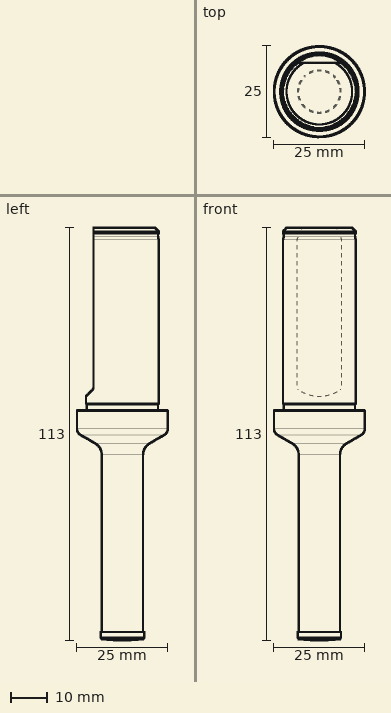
import cadquery as cq
import math

TOTAL_LENGTH = 113.0

TIP_RADIUS = 6.0
TIP_HEIGHT = 2.4
TIP_BEVEL_TOP = 0.9
TIP_BEVEL_BOTTOM = 0.3
TIP_END_RADIUS = 5.6
TIP_NOSE_RADIUS = 2.1 / 2

STEM_RADIUS = 11.4 / 2
FLARE_ANGLE = math.radians(30)
FLARE_START = 51.0
FLARE_LOWER_ARC = 3.4
FLARE_UPPER_ARC = 2.1

FLANGE_RADIUS = 25.0 / 2
FLANGE_TOP = 63.0
FLANGE_BEVEL = 0.2
RECESS_RADIUS = 10.7
RECESS_FLOOR_RADIUS = 10.5
RECESS_DEPTH = 0.2

SHANK_RADIUS = 20.0 / 2
NECK_RADIUS = 19.5 / 2
SHANK_BOTTOM = 64.6
SHANK_FOOT_BEVEL = SHANK_RADIUS - NECK_RADIUS
GROOVE_TAPER_START = 109.7
GROOVE_BOTTOM = 110.6
GROOVE_TOP = 111.4
TOP_BEVEL = 1.0

FLAT_OFFSET = 7.9
FLAT_BOTTOM = 68.9
RUNOUT_FILLET = 1.1


def polar(center, radius, angle):
    """Point at an angle on a circle in the radius-height plane."""
    return (center[0] + radius * math.cos(angle), center[1] + radius * math.sin(angle))


def make_tip():
    """Short cutting tip with a bevelled rim and a very shallow pointed end."""
    return (
        cq.Workplane("XZ")
        .moveTo(0, 0)
        .lineTo(TIP_NOSE_RADIUS, 0)
        .lineTo(TIP_END_RADIUS, TIP_BEVEL_BOTTOM)
        .lineTo(TIP_RADIUS, TIP_BEVEL_TOP)
        .lineTo(TIP_RADIUS, TIP_HEIGHT)
        .lineTo(0, TIP_HEIGHT)
        .close()
        .revolve(360, (0, 0, 0), (0, 1, 0))
    )


def make_turned_body():
    """Revolved stem, flared flange, neck and shank."""
    lower_center = (STEM_RADIUS + FLARE_LOWER_ARC, FLARE_START)
    lower_turn = math.pi / 2 - FLARE_ANGLE
    lower_mid = polar(lower_center, FLARE_LOWER_ARC, math.pi - lower_turn / 2)
    cone_start = polar(lower_center, FLARE_LOWER_ARC, math.pi - lower_turn)

    upper_radius_center = FLANGE_RADIUS - FLARE_UPPER_ARC
    cone_end_radius = upper_radius_center + FLARE_UPPER_ARC * math.sin(FLARE_ANGLE)
    cone_end_height = cone_start[1] + (cone_end_radius - cone_start[0]) * math.tan(FLARE_ANGLE)
    rim_start = cone_end_height + FLARE_UPPER_ARC * math.cos(FLARE_ANGLE)
    upper_center = (upper_radius_center, rim_start)
    upper_mid = polar(upper_center, FLARE_UPPER_ARC, -lower_turn / 2)

    return (
        cq.Workplane("XZ")
        .moveTo(0, TIP_HEIGHT)
        .lineTo(STEM_RADIUS, TIP_HEIGHT)
        .lineTo(STEM_RADIUS, FLARE_START)
        .threePointArc(lower_mid, cone_start)
        .lineTo(cone_end_radius, cone_end_height)
        .threePointArc(upper_mid, (FLANGE_RADIUS, rim_start))
        .lineTo(FLANGE_RADIUS, FLANGE_TOP - FLANGE_BEVEL)
        .lineTo(FLANGE_RADIUS - FLANGE_BEVEL, FLANGE_TOP)
        .lineTo(RECESS_RADIUS, FLANGE_TOP)
        .lineTo(RECESS_FLOOR_RADIUS, FLANGE_TOP - RECESS_DEPTH)
        .lineTo(NECK_RADIUS, FLANGE_TOP - RECESS_DEPTH)
        .lineTo(NECK_RADIUS, SHANK_BOTTOM)
        .lineTo(SHANK_RADIUS, SHANK_BOTTOM + SHANK_FOOT_BEVEL)
        .lineTo(SHANK_RADIUS, GROOVE_TAPER_START)
        .lineTo(NECK_RADIUS, GROOVE_BOTTOM)
        .lineTo(NECK_RADIUS, GROOVE_TOP)
        .lineTo(SHANK_RADIUS, GROOVE_TOP)
        .lineTo(SHANK_RADIUS, TOTAL_LENGTH - TOP_BEVEL)
        .lineTo(SHANK_RADIUS - TOP_BEVEL, TOTAL_LENGTH)
        .lineTo(0, TOTAL_LENGTH)
        .close()
        .revolve(360, (0, 0, 0), (0, 1, 0))
    )


def make_flat_cutter():
    """Wedge-ended block that removes the flat and its 45 degree run-out, blended by a fillet."""
    outside = FLANGE_RADIUS
    runout_drop = outside - FLAT_OFFSET
    return (
        cq.Workplane("YZ")
        .moveTo(FLAT_OFFSET, TOTAL_LENGTH)
        .lineTo(FLAT_OFFSET, FLAT_BOTTOM)
        .lineTo(outside, FLAT_BOTTOM - runout_drop)
        .lineTo(outside, TOTAL_LENGTH)
        .close()
        .extrude(SHANK_RADIUS, both=True)
        .faces("<Y")
        .edges("|X and <Z")
        .fillet(RUNOUT_FILLET)
    )


tip = make_tip()
holder = make_turned_body().cut(make_flat_cutter())

result = cq.Compound.makeCompound([holder.val(), tip.val()])